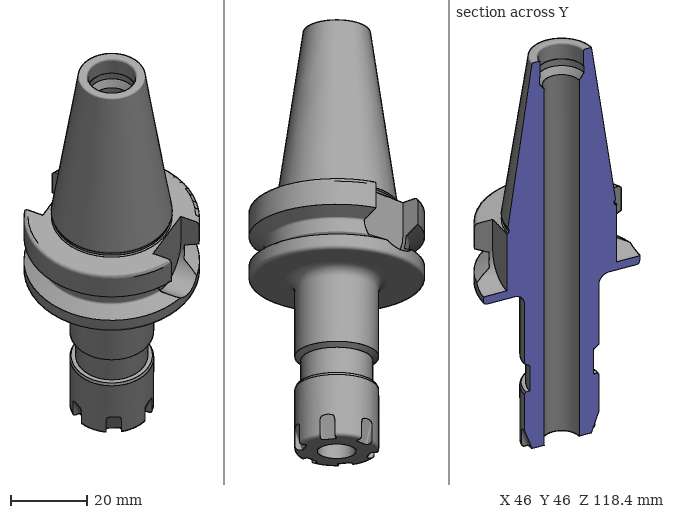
import cadquery as cq
import math

total_height = 118.4
gauge_height = 70.0
flange_top = 68.1
flange_bottom = 48.0
nut_top = 18.0

gauge_radius = 15.9
taper_ratio = 7 / 24
taper_length = total_height - gauge_height
taper_end_radius = gauge_radius - taper_ratio * taper_length / 2
taper_end_fillet = 0.5
gauge_land = 0.5
relief_depth = 0.4

flange_diameter = 46.0
flange_radius = flange_diameter / 2
flange_edge_radius = 1.1
groove_floor_radius = 19.1
groove_floor_fillet = 0.5
groove_upper_edge = 60.5
groove_upper_floor = 58.3
groove_lower_floor = 54.3
groove_lower_edge = 52.1

keyway_width = 16.0
keyway_bottom = 50.5
keyway_face = 16.2

body_radius = 11.0
body_root_fillet = 3.0
body_bottom = 26.6
body_chamfer_height = 1.1
neck_radius = 9.5
nut_edge_drop = 0.7
nut_edge_inset = 0.4
nut_front_radius = 1.0

slot_count = 6
slot_width = 4.0
slot_height = 6.2
slot_floor_fillet = 0.5
slot_floor_depth = 2.2

bore_radius = 5.1
counterbore_radius = 6.3
counterbore_depth = 5.0
counterbore_edge_radius = 0.7
relief_groove_radius = 6.5
relief_groove_width = 2.5
bore_cone_height = 1.7


def turned_body():
    """Solid of revolution: taper, flange, body, neck and nut."""
    diagonal = math.sqrt(0.5)
    relief_top = gauge_height - gauge_land
    root_center = (body_radius + body_root_fillet, flange_bottom - body_root_fillet)
    profile = (
        cq.Workplane("XZ")
        .lineTo(body_radius - nut_front_radius, 0)
        .radiusArc((body_radius, nut_front_radius), -nut_front_radius)
        .lineTo(body_radius, nut_top - nut_edge_drop)
        .lineTo(body_radius - nut_edge_inset, nut_top)
        .lineTo(neck_radius, nut_top)
        .lineTo(neck_radius, body_bottom - body_chamfer_height)
        .lineTo(body_radius, body_bottom)
        .lineTo(body_radius, root_center[1])
        .threePointArc(
            (
                root_center[0] - body_root_fillet * diagonal,
                root_center[1] + body_root_fillet * diagonal,
            ),
            (root_center[0], flange_bottom),
        )
        .lineTo(flange_radius - flange_edge_radius, flange_bottom)
        .radiusArc((flange_radius, flange_bottom + flange_edge_radius), -flange_edge_radius)
        .lineTo(flange_radius, groove_lower_edge)
        .lineTo(groove_floor_radius, groove_lower_floor)
        .lineTo(groove_floor_radius, groove_upper_floor)
        .lineTo(flange_radius, groove_upper_edge)
        .lineTo(flange_radius, flange_top - flange_edge_radius)
        .radiusArc((flange_radius - flange_edge_radius, flange_top), -flange_edge_radius)
        .lineTo(gauge_radius, flange_top)
        .lineTo(gauge_radius - relief_depth, flange_top + relief_depth)
        .lineTo(gauge_radius - relief_depth, relief_top - relief_depth)
        .lineTo(gauge_radius, relief_top)
        .lineTo(gauge_radius, gauge_height)
        .lineTo(taper_end_radius, total_height)
        .lineTo(0, total_height)
        .close()
    )
    body = profile.revolve(360, (0, 0, 0), (0, 1, 0))
    body = body.edges(">Z").fillet(taper_end_fillet)
    floor_corners = cq.selectors.BoxSelector(
        (-flange_radius, -flange_radius, groove_lower_edge + groove_floor_fillet),
        (flange_radius, flange_radius, groove_upper_edge - groove_floor_fillet),
    )
    return body.edges("%CIRCLE").edges(floor_corners).fillet(groove_floor_fillet)


def pull_stud_bore():
    """Through bore with a rounded edge, a counterbore, a relief groove and a cone."""
    groove_top = total_height - counterbore_depth
    groove_bottom = groove_top - relief_groove_width
    groove_slope = relief_groove_radius - counterbore_radius
    profile = (
        cq.Workplane("XZ")
        .lineTo(bore_radius, 0)
        .lineTo(bore_radius, groove_bottom - bore_cone_height)
        .lineTo(counterbore_radius, groove_bottom)
        .lineTo(relief_groove_radius, groove_bottom + groove_slope)
        .lineTo(relief_groove_radius, groove_top - groove_slope)
        .lineTo(counterbore_radius, groove_top)
        .lineTo(counterbore_radius, total_height - counterbore_edge_radius)
        .radiusArc((counterbore_radius + counterbore_edge_radius, total_height), counterbore_edge_radius)
        .lineTo(0, total_height)
        .close()
    )
    return profile.revolve(360, (0, 0, 0), (0, 1, 0))


def keyway():
    """Round-bottomed keyway on the +X side, open at the top of the flange."""
    end_radius = keyway_width / 2
    arc_height = keyway_bottom + end_radius
    return (
        cq.Workplane("YZ", origin=(keyway_face, 0, 0))
        .moveTo(-end_radius, flange_top)
        .lineTo(-end_radius, arc_height)
        .threePointArc((0, keyway_bottom), (end_radius, arc_height))
        .lineTo(end_radius, flange_top)
        .close()
        .extrude(flange_radius)
    )


def wrench_slot():
    """Slot on the +X side of the nut; its filleted floor slopes out to the nut surface."""
    floor_start = body_radius - slot_floor_depth
    cutter = (
        cq.Workplane("XZ")
        .moveTo(floor_start, 0)
        .lineTo(floor_start + 2 * slot_floor_depth, 2 * slot_height)
        .lineTo(2 * body_radius, 2 * slot_height)
        .lineTo(2 * body_radius, 0)
        .close()
        .extrude(slot_width / 2, both=True)
    )
    return cutter.faces("<X").edges("not #Z").fillet(slot_floor_fillet)


result = turned_body().cut(pull_stud_bore())
for side in range(2):
    result = result.cut(keyway().rotate((0, 0, 0), (0, 0, 1), 180 * side))
for index in range(slot_count):
    angle = 360 / slot_count * index
    result = result.cut(wrench_slot().rotate((0, 0, 0), (0, 0, 1), angle))